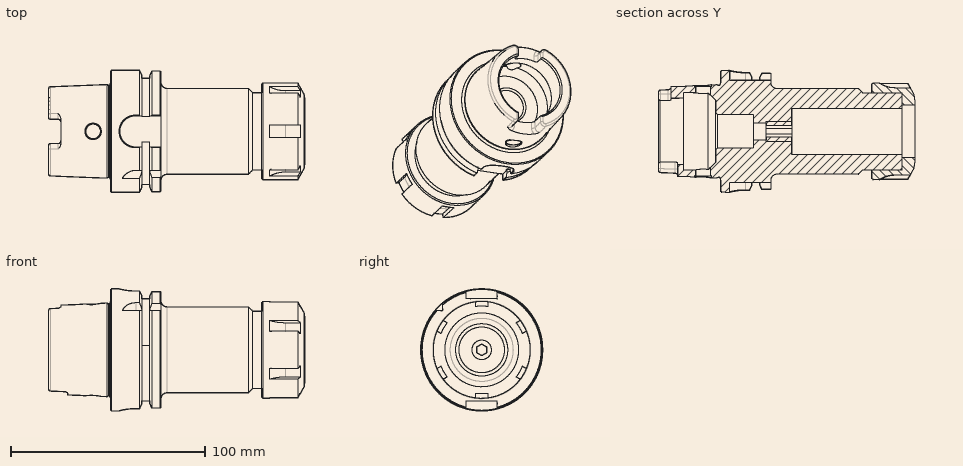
import cadquery as cq
import math


TOTAL_LENGTH = 132.1

TAPER_REAR_RADIUS = 23.0
TAPER_FRONT_RADIUS = 24.2
TAPER_LENGTH = 30.1
REAR_EDGE_ROUND = 1.0
UNDERCUT_RADIUS = 23.8
UNDERCUT_STEP = 0.7
UNDERCUT_FRONT = 31.5
FACE_RELIEF_RADIUS = 25.2

FLANGE_REAR = 32.0
FLANGE_FRONT = 58.0
FLANGE_RADIUS = 63.0 / 2
FRONT_FLANGE_RADIUS = 31.2
FLANGE_CHAMFER = 0.5
GROOVE_REAR = 48.1
GROOVE_FRONT = 52.0
GROOVE_RADIUS = 27.5
GROOVE_MOUTH_WIDENING = 1.2
GROOVE_MOUTH_DEPTH = 2.5
GROOVE_FLAT_DISTANCE = 21.8
GROOVE_FLAT_ANGLE = 137.8

KEYWAY_WIDTH = 16.0
KEYWAY_REAR = 36.7
KEYWAY_FLOOR = 26.4
KEYWAY_EDGE_CHAMFER = 0.4
NOTCH_REAR = 37.0
NOTCH_WALL_DISTANCE = 20.1
NOTCH_FLOOR = 20.2
NOTCH_CORNER_RADIUS = 8.0

BODY_RADIUS = 22.2
BODY_FRONT = 102.9
BODY_FILLET = 3.0
NOSE_RADIUS = 40.0 / 2
NOSE_CHAMFER = BODY_RADIUS - NOSE_RADIUS

BORE_RADIUS = 34.0 / 2
BORE_MOUTH_CHAMFER = 0.8
BORE_STRAIGHT_DEPTH = 13.0
CLAMP_GROOVE_RADIUS = 19.8
BORE_FLOOR_RADIUS = 31.8 / 2
BORE_DEPTH = 29.5
RECESS_RADIUS = 16.9 / 2
RECESS_MOUTH_RADIUS = 18.9 / 2
RECESS_FRONT = 48.9
PASSAGE_RADIUS = 8.5 / 2
SOCKET_RADIUS = 23.5 / 2

SCREW_RADIUS = 10.0 / 2
SCREW_REAR = 55.5
SCREW_FRONT = 68.7
HEX_SIDES = 6
HEX_ACROSS_FLATS = 5.0

SLOT_WIDTH = 12.4
UPPER_SLOT_DEPTH = 6.3
LOWER_SLOT_DEPTH = 9.9
SLOT_FLOOR_FILLET = 1.5
SLOT_LIP_RADIUS = 2.1
CROSS_HOLE_X = 23.0
CROSS_HOLE_DIAMETER = 7.5
CROSS_HOLE_MOUTH_DIAMETER = 8.5
CROSS_HOLE_MOUTH_FLOOR = 23.0

NUT_REAR = 109.8
NUT_RADIUS = 25.0
NUT_REAR_CHAMFER = 0.7
NUT_CONE_REAR = 128.4
NUT_CONE_FRONT = 131.7
NUT_CONE_FRONT_RADIUS = 19.0
NUT_FACE_RADIUS = 16.2
NUT_OPENING_RADIUS = 27.0 / 2
NUT_LIP_REAR = 125.5
WRENCH_SLOT_COUNT = 6
WRENCH_SLOT_WIDTH = 6.3
WRENCH_SLOT_REAR = 113.9
WRENCH_SLOT_FLAT_REAR = 121.9
WRENCH_SLOT_FLOOR = 22.6

OUTSIDE = 2 * FLANGE_RADIUS
TOLERANCE = 0.01


def turned(profile):
    """Solid of revolution about X from a closed (x, radius) wire drawn on the XY plane."""
    return profile.close().revolve(360, (0, 0, 0), (1, 0, 0))


def bar(radius, start, end):
    """Cylinder on the X axis between two stations."""
    return cq.Workplane("YZ", origin=(start, 0, 0)).circle(radius).extrude(end - start)


def near(value, target):
    """True when two coordinates agree within the tolerance."""
    return abs(value - target) < TOLERANCE



def shank_blank():
    """Tapered shank, from the rear face to the flange."""
    return turned(
        cq.Workplane("XY")
        .lineTo(0, TAPER_REAR_RADIUS)
        .lineTo(TAPER_LENGTH, TAPER_FRONT_RADIUS)
        .lineTo(TAPER_LENGTH + UNDERCUT_STEP, UNDERCUT_RADIUS)
        .lineTo(UNDERCUT_FRONT, UNDERCUT_RADIUS)
        .lineTo(FLANGE_REAR, FACE_RELIEF_RADIUS)
        .lineTo(FLANGE_REAR, 0)
    )


def cut_drive_slots(body):
    """Cut the two drive slots, then round their lips, floor corners and the rear rim."""
    slots = [(UPPER_SLOT_DEPTH, 1), (LOWER_SLOT_DEPTH, -1)]
    for depth, side in slots:
        slot = cq.Workplane("XY").box(depth, SLOT_WIDTH, OUTSIDE, centered=(False, True, True))
        body = body.cut(slot.translate((0, 0, side * OUTSIDE / 2)))

    wall_edges = [e for e in body.edges().vals() if near(abs(e.Center().y), SLOT_WIDTH / 2)]
    lips = [e for e in wall_edges if e.geomType() == "HYPERBOLA"]
    body = body.newObject(lips).fillet(SLOT_LIP_RADIUS)

    wall_edges = [e for e in body.edges().vals() if near(abs(e.Center().y), SLOT_WIDTH / 2)]
    depths = [depth for depth, side in slots]
    corners = [e for e in wall_edges if any(near(e.Center().x, depth) for depth in depths)]
    body = body.newObject(corners).fillet(SLOT_FLOOR_FILLET)

    rear_edges = body.faces("<X").edges().vals()
    rim = [e for e in rear_edges if e.geomType() != "CIRCLE" or not near(e.radius(), BORE_RADIUS)]
    return body.newObject(rim).fillet(REAR_EDGE_ROUND)


def shank():
    """Hollow taper shank with its drive slots."""
    return cut_drive_slots(shank_blank().cut(bar(BORE_RADIUS, 0, BORE_STRAIGHT_DEPTH)))


def holder_front():
    """Flange with its gripper groove, cylindrical body and nose inside the nut."""
    return turned(
        cq.Workplane("XY")
        .moveTo(FLANGE_REAR, 0)
        .lineTo(FLANGE_REAR, FLANGE_RADIUS - FLANGE_CHAMFER)
        .lineTo(FLANGE_REAR + FLANGE_CHAMFER, FLANGE_RADIUS)
        .lineTo(GROOVE_REAR - GROOVE_MOUTH_WIDENING, FLANGE_RADIUS)
        .lineTo(GROOVE_REAR, FLANGE_RADIUS - GROOVE_MOUTH_DEPTH)
        .lineTo(GROOVE_REAR, GROOVE_RADIUS)
        .lineTo(GROOVE_FRONT, GROOVE_RADIUS)
        .lineTo(GROOVE_FRONT, FRONT_FLANGE_RADIUS - GROOVE_MOUTH_DEPTH)
        .lineTo(GROOVE_FRONT + GROOVE_MOUTH_WIDENING, FRONT_FLANGE_RADIUS)
        .lineTo(FLANGE_FRONT - FLANGE_CHAMFER, FRONT_FLANGE_RADIUS)
        .lineTo(FLANGE_FRONT, FRONT_FLANGE_RADIUS - FLANGE_CHAMFER)
        .lineTo(FLANGE_FRONT, BODY_RADIUS + BODY_FILLET)
        .radiusArc((FLANGE_FRONT + BODY_FILLET, BODY_RADIUS), -BODY_FILLET)
        .lineTo(BODY_FRONT, BODY_RADIUS)
        .lineTo(BODY_FRONT + NOSE_CHAMFER, NOSE_RADIUS)
        .lineTo(NUT_LIP_REAR, NOSE_RADIUS)
        .lineTo(NUT_LIP_REAR, 0)
    )


def groove_flat():
    """Cutter for the flat across one side of the groove floor."""
    block = cq.Workplane("XY").box(
        GROOVE_FRONT - GROOVE_REAR, OUTSIDE, OUTSIDE, centered=(False, False, True)
    )
    block = block.translate((GROOVE_REAR, GROOVE_FLAT_DISTANCE, 0))
    return block.rotate((0, 0, 0), (1, 0, 0), GROOVE_FLAT_ANGLE)


def cut_keyway(body, side):
    """Cut the keyway at +Z or -Z (side), round at the rear and open at the front, and break its rim."""
    radius = KEYWAY_WIDTH / 2
    center = KEYWAY_REAR + radius
    outline = cq.Workplane("XY", origin=(0, 0, side * KEYWAY_FLOOR))
    round_end = outline.center(center, 0).circle(radius).extrude(side * OUTSIDE)
    length = FLANGE_FRONT - center
    run = outline.center(center + length / 2, 0).rect(length, KEYWAY_WIDTH).extrude(side * OUTSIDE)
    body = body.cut(round_end.union(run))

    wall_height = math.sqrt(FRONT_FLANGE_RADIUS**2 - radius**2)
    rim = [
        e
        for e in body.edges().vals()
        if e.Center().z * side > wall_height - TOLERANCE
        and abs(e.Center().y) < radius + TOLERANCE
        and e.geomType() in ("LINE", "BSPLINE")
    ]
    return body.newObject(rim).chamfer(KEYWAY_EDGE_CHAMFER)


def side_notch():
    """Cutter for the stepped notch: a level floor, an upright wall and a rounded rear corner."""
    length = FLANGE_FRONT - NOTCH_REAR
    block = cq.Workplane("XY").box(length, OUTSIDE, OUTSIDE, centered=False)
    block = block.edges("|Z and <X and >Y").fillet(NOTCH_CORNER_RADIUS)
    return block.translate((NOTCH_REAR, -NOTCH_WALL_DISTANCE - OUTSIDE, NOTCH_FLOOR))


def bore():
    """Cutter for the stepped passage from the rear mouth through to the collet socket."""
    mouth = BORE_RADIUS + BORE_MOUTH_CHAMFER
    floor_cone_length = CLAMP_GROOVE_RADIUS - BORE_FLOOR_RADIUS
    recess_chamfer = RECESS_MOUTH_RADIUS - RECESS_RADIUS
    return turned(
        cq.Workplane("XY")
        .lineTo(0, mouth)
        .lineTo(BORE_MOUTH_CHAMFER, BORE_RADIUS)
        .lineTo(BORE_STRAIGHT_DEPTH, BORE_RADIUS)
        .lineTo(BORE_STRAIGHT_DEPTH, CLAMP_GROOVE_RADIUS)
        .lineTo(BORE_DEPTH - floor_cone_length, CLAMP_GROOVE_RADIUS)
        .lineTo(BORE_DEPTH, BORE_FLOOR_RADIUS)
        .lineTo(BORE_DEPTH, RECESS_MOUTH_RADIUS)
        .lineTo(BORE_DEPTH + recess_chamfer, RECESS_RADIUS)
        .lineTo(RECESS_FRONT, RECESS_RADIUS)
        .lineTo(RECESS_FRONT, PASSAGE_RADIUS)
        .lineTo(SCREW_REAR, PASSAGE_RADIUS)
        .lineTo(SCREW_REAR, SCREW_RADIUS)
        .lineTo(SCREW_FRONT, SCREW_RADIUS)
        .lineTo(SCREW_FRONT, SOCKET_RADIUS)
        .lineTo(NUT_LIP_REAR, SOCKET_RADIUS)
        .lineTo(NUT_LIP_REAR, 0)
    )


def cross_hole():
    """Cutter for the hole across the shank, widened where it breaks the taper."""
    station = cq.Workplane("XY", origin=(CROSS_HOLE_X, 0, 0))
    hole = station.circle(CROSS_HOLE_DIAMETER / 2).extrude(OUTSIDE, both=True)
    for side in (1, -1):
        mouth = (
            cq.Workplane("XY", origin=(CROSS_HOLE_X, 0, side * CROSS_HOLE_MOUTH_FLOOR))
            .circle(CROSS_HOLE_MOUTH_DIAMETER / 2)
            .extrude(side * OUTSIDE)
        )
        hole = hole.union(mouth)
    return hole


def make_housing():
    """One-piece tool holder."""
    body = holder_front()
    body = body.cut(groove_flat()).cut(side_notch())
    for side in (1, -1):
        body = cut_keyway(body, side)
    body = body.union(shank())
    return body.cut(bore()).cut(cross_hole()).solids()



def wrench_slot():
    """Cutter for one wrench slot at +Z: round floor at the front, curved run-out at the rear."""
    run_out = WRENCH_SLOT_FLAT_REAR - WRENCH_SLOT_REAR
    depth = NUT_RADIUS - WRENCH_SLOT_FLOOR
    run_out_radius = (run_out**2 + depth**2) / (2 * depth)
    ring = turned(
        cq.Workplane("XY")
        .moveTo(TOTAL_LENGTH, WRENCH_SLOT_FLOOR)
        .lineTo(WRENCH_SLOT_FLAT_REAR, WRENCH_SLOT_FLOOR)
        .radiusArc((WRENCH_SLOT_REAR, NUT_RADIUS), run_out_radius)
        .lineTo(WRENCH_SLOT_REAR, OUTSIDE)
        .lineTo(TOTAL_LENGTH, OUTSIDE)
    )
    slice_block = cq.Workplane("XY").box(
        TOTAL_LENGTH, WRENCH_SLOT_WIDTH, OUTSIDE, centered=(False, True, False)
    )
    return ring.intersect(slice_block)


def make_nut():
    """Ring nut around the nose, with a front lip and evenly spaced wrench slots."""
    nut = turned(
        cq.Workplane("XY")
        .moveTo(NUT_REAR, NOSE_RADIUS)
        .lineTo(NUT_REAR, NUT_RADIUS - NUT_REAR_CHAMFER)
        .lineTo(NUT_REAR + NUT_REAR_CHAMFER, NUT_RADIUS)
        .lineTo(NUT_CONE_REAR, NUT_RADIUS)
        .lineTo(NUT_CONE_FRONT, NUT_CONE_FRONT_RADIUS)
        .lineTo(TOTAL_LENGTH, NUT_FACE_RADIUS)
        .lineTo(TOTAL_LENGTH, NUT_OPENING_RADIUS)
        .lineTo(NUT_LIP_REAR, NUT_OPENING_RADIUS)
        .lineTo(NUT_LIP_REAR, NOSE_RADIUS)
    )
    for index in range(WRENCH_SLOT_COUNT):
        angle = index * 360 / WRENCH_SLOT_COUNT
        nut = nut.cut(wrench_slot().rotate((0, 0, 0), (1, 0, 0), angle))
    return nut.solids()



def make_stop_screw():
    """Set screw with a hexagon hole right through, corners up and down."""
    screw = bar(SCREW_RADIUS, SCREW_REAR, SCREW_FRONT)
    half_corner_angle = 180 / HEX_SIDES
    across_corners = HEX_ACROSS_FLATS / math.cos(math.radians(half_corner_angle))
    hexagon = (
        cq.Workplane("YZ", origin=(SCREW_REAR, 0, 0))
        .polygon(HEX_SIDES, across_corners)
        .extrude(SCREW_FRONT - SCREW_REAR)
        .rotate((0, 0, 0), (1, 0, 0), half_corner_angle)
    )
    return screw.cut(hexagon).solids()


housing = make_housing()
nut = make_nut()
stop_screw = make_stop_screw()

result = cq.Compound.makeCompound([housing.val(), nut.val(), stop_screw.val()])